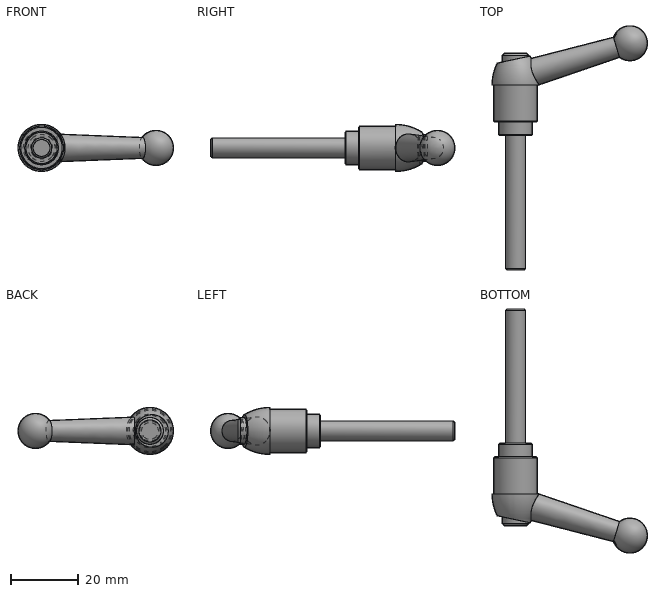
import cadquery as cq
import math

stud_length = 40.0
body_bottom = 44.0
dome_bottom = 55.0
dome_shoulder = 62.8
dome_top = 63.8
button_top = 64.55

stud_radius = 6.0 / 2
collar_radius = 10.0 / 2
body_radius = 13.0 / 2
dome_radius = 14.0 / 2
dome_top_radius = 4.3
button_radius = 8.0 / 2
dome_arc_radius = 14.5

stud_chamfer = 0.5
edge_chamfer = 0.35
button_chamfer = 0.7

cut_height = 62.7
cut_angle = 12.0

handle_root_height = 57.3
ball_x = 34.0
ball_y = 67.45
ball_radius = 5.2
handle_root_radius = 4.35
handle_tip_radius = 3.0


def cylinder(radius, bottom, top):
    """Cylinder about the Y axis between two heights."""
    return cq.Workplane("XZ", origin=(0, top, 0)).circle(radius).extrude(top - bottom)


def dome_radius_at(height):
    """Radius of the dome, whose arc leaves the lower rim parallel to the axis."""
    rise = height - dome_bottom
    return dome_radius - dome_arc_radius + math.sqrt(dome_arc_radius**2 - rise**2)


def make_dome():
    middle = (dome_bottom + dome_shoulder) / 2
    dome = (
        cq.Workplane("XY")
        .moveTo(0, dome_bottom)
        .lineTo(dome_radius, dome_bottom)
        .threePointArc(
            (dome_radius_at(middle), middle),
            (dome_radius_at(dome_shoulder), dome_shoulder),
        )
        .lineTo(dome_top_radius, dome_top)
        .lineTo(0, dome_top)
        .close()
        .revolve(360, (0, 0, 0), (0, 1, 0))
    )
    cutter_size = 4 * dome_radius
    cutter = (
        cq.Workplane("XY")
        .box(cutter_size, cutter_size, cutter_size)
        .translate((0, cut_height + cutter_size / 2, 0))
        .rotate((0, cut_height, 0), (0, cut_height, 1), cut_angle)
    )
    return dome.cut(cutter)


def make_handle():
    run = ball_x
    rise = ball_y - handle_root_height
    root = cq.Vector(0, handle_root_height, 0)
    shaft = cq.Solid.makeCone(
        handle_root_radius, handle_tip_radius, math.hypot(run, rise), root, cq.Vector(run, rise, 0)
    )
    ball = cq.Workplane("XY").sphere(ball_radius).translate((ball_x, ball_y, 0))
    return ball.union(cq.Workplane(shaft))


stud = cylinder(stud_radius, 0, dome_bottom).faces("<Y").chamfer(stud_chamfer)
collar = cylinder(collar_radius, stud_length, dome_bottom).faces("<Y").chamfer(edge_chamfer)
body = cylinder(body_radius, body_bottom, dome_bottom).faces("<Y").chamfer(edge_chamfer)
button = cylinder(button_radius, dome_bottom, button_top).faces(">Y").chamfer(button_chamfer)

result = stud.union(collar).union(body).union(make_dome()).union(button).union(make_handle())